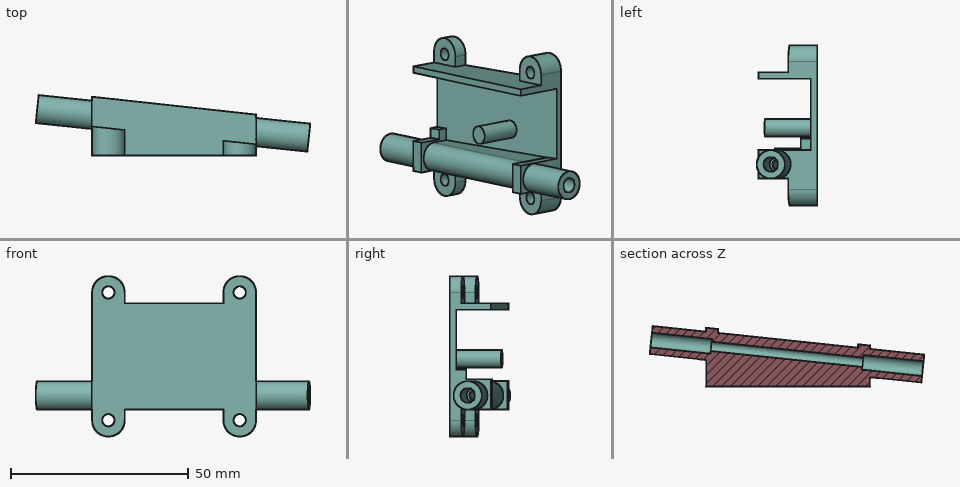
import cadquery as cq
import math

hole_spacing_x = 37.0
hole_spacing_z = 36.0
ear_radius = 4.625
body_length = hole_spacing_x + 2 * ear_radius
body_height = 30.0
wall = 1.875
hole_diameter = 3.4

rim_depth = 16.65
rim_angle = 6.2
ear_depth = 8.25

tube_diameter = 8.0
tube_length = 77.0
tube_tilt = 6.0
tube_middle_x = 22.83
tube_middle_y = 9.12
socket_diameter = 4.1
socket_length = 17.0
bore_diameter = 2.6

end_wall_length = 3.45
left_wall_height = 8.1
right_wall_height = 8.6
step_depth = 4.7
step_height = 3.25

post_diameter = 5.0
post_x = 18.0
post_z = -0.7

floor_z = -body_height / 2
tube_z = floor_z + tube_diameter / 2


def sloped_block(x_start, x_end, z_start, z_end, left_depth=rim_depth):
    """Block from the back face to a plane that has left_depth at x = 0 and falls at the rim angle."""
    slope = math.tan(math.radians(rim_angle))
    start_depth = left_depth - slope * x_start
    end_depth = left_depth - slope * x_end
    outline = [(x_start, 0), (x_end, 0), (x_end, end_depth), (x_start, start_depth)]
    return cq.Workplane("XY").workplane(offset=z_start).polyline(outline).close().extrude(z_end - z_start)


def y_cylinder(x, z, diameter, length):
    """Cylinder along +Y from the back face."""
    return cq.Workplane("XZ").center(x, z).circle(diameter / 2).extrude(-length)


def tube_cylinder(diameter, start, length):
    """Cylinder on the tilted tube axis; start is measured from the left end of the tube."""
    tilt = math.radians(tube_tilt)
    direction = cq.Vector(math.cos(tilt), -math.sin(tilt), 0)
    middle = cq.Vector(tube_middle_x, tube_middle_y, tube_z)
    base = middle + direction * (start - tube_length / 2)
    return cq.Workplane(cq.Solid.makeCylinder(diameter / 2, length, base, direction))


def make_shell():
    plate = cq.Workplane("XY").box(body_length, wall, body_height, centered=(False, False, True))
    top_wall = sloped_block(0, body_length, body_height / 2 - wall, body_height / 2)
    return plate.union(top_wall)


def make_ear(x, side):
    """Rounded mounting ear above (side = 1) or below (side = -1) the body."""
    hole_z = side * hole_spacing_z / 2
    body_edge = side * body_height / 2
    lower, upper = sorted((body_edge, hole_z))
    stem = cq.Workplane("XY").box(2 * ear_radius, rim_depth, upper - lower, centered=(True, False, False))
    ear = stem.translate((x, 0, lower)).union(y_cylinder(x, hole_z, 2 * ear_radius, rim_depth))
    return ear.intersect(sloped_block(0, body_length, -body_height, body_height, ear_depth))


def make_bottom_block():
    right_wall_x = body_length - end_wall_length
    left_wall = sloped_block(0, end_wall_length, floor_z, floor_z + left_wall_height)
    right_wall = sloped_block(right_wall_x, body_length, floor_z, floor_z + right_wall_height)
    step_top = floor_z + left_wall_height + step_height
    step = cq.Workplane("XY").box(end_wall_length, step_depth, step_top - floor_z, centered=False)
    step = step.translate((right_wall_x, 0, floor_z))
    slope = math.tan(math.radians(tube_tilt))
    left_axis_y = tube_middle_y + slope * tube_middle_x
    right_axis_y = left_axis_y - slope * body_length
    outline = [(0, 0), (body_length, 0), (body_length, right_axis_y), (0, left_axis_y)]
    filling = cq.Workplane("XY").workplane(offset=floor_z).polyline(outline).close().extrude(tube_diameter)
    return filling.union(left_wall).union(right_wall).union(step)


def make_post():
    under_rim = sloped_block(0, body_length, floor_z, -floor_z)
    return y_cylinder(post_x, post_z, post_diameter, rim_depth).intersect(under_rim)


result = make_shell().union(make_bottom_block()).union(make_post())
result = result.union(tube_cylinder(tube_diameter, 0, tube_length))

for ear_x in (ear_radius, body_length - ear_radius):
    for ear_side in (-1, 1):
        result = result.union(make_ear(ear_x, ear_side))
        result = result.cut(y_cylinder(ear_x, ear_side * hole_spacing_z / 2, hole_diameter, rim_depth))

result = result.cut(tube_cylinder(bore_diameter, 0, tube_length))
for socket_start in (0, tube_length - socket_length):
    result = result.cut(tube_cylinder(socket_diameter, socket_start, socket_length))